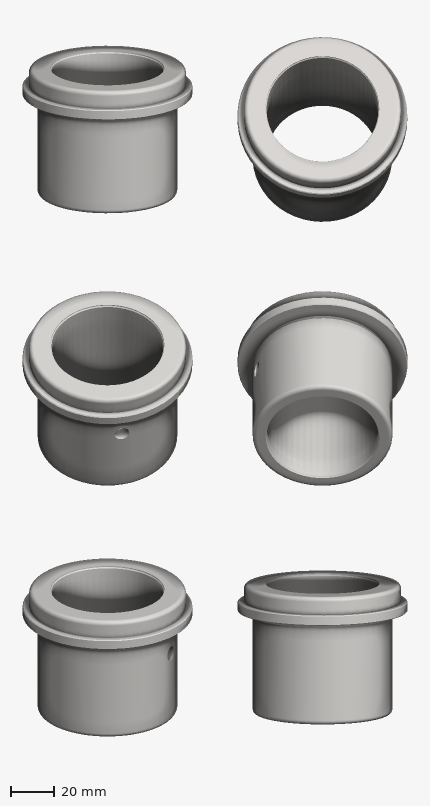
import cadquery as cq

total_height = 61.0
flange_diameter = 79.0
collar_diameter = 73.0
body_diameter = 65.0
bore_diameter = 52.0

collar_height = 8.1
flange_height = 4.7
flange_chamfer = 0.4
bore_chamfer = 0.5
end_fillet = 2.0

relief_height = 2.1
relief_depth = 0.8
relief_top_depth = 0.55
relief_mid_drop = 0.95

oil_hole_diameter = 7.0
oil_hole_height = 34.5

flange_top = total_height - collar_height
flange_bottom = flange_top - flange_height
body_radius = body_diameter / 2


def make_disc(diameter, bottom, top):
    return cq.Workplane("XY").workplane(offset=bottom).circle(diameter / 2).extrude(top - bottom)


def make_body():
    return make_disc(body_diameter, 0, flange_bottom).faces("<Z").edges().fillet(end_fillet)


def make_flange():
    return make_disc(flange_diameter, flange_bottom, flange_top).edges().chamfer(flange_chamfer)


def make_collar():
    return make_disc(collar_diameter, flange_top, total_height).faces(">Z").edges().fillet(end_fillet)


def make_relief():
    """Curved undercut around the body just below the flange."""
    return (
        cq.Workplane("XZ")
        .moveTo(body_radius, flange_bottom - relief_height)
        .threePointArc(
            (body_radius - relief_depth, flange_bottom - relief_mid_drop),
            (body_radius - relief_top_depth, flange_bottom),
        )
        .lineTo(body_radius, flange_bottom)
        .close()
        .revolve(360, (0, 0, 0), (0, 1, 0))
    )


def make_bore():
    """Through bore with a chamfered mouth at each end."""
    bore = make_disc(bore_diameter, 0, total_height)
    mouth_diameter = bore_diameter + 2 * bore_chamfer
    lower_mouth = make_disc(mouth_diameter, 0, 2 * bore_chamfer).faces(">Z").edges().chamfer(bore_chamfer)
    upper_mouth = lower_mouth.mirror("XY").translate((0, 0, total_height))
    return bore.union(lower_mouth).union(upper_mouth)


def make_oil_hole():
    """Radial hole through the +Y wall only."""
    return (
        cq.Workplane("XZ", origin=(0, 0, oil_hole_height))
        .circle(oil_hole_diameter / 2)
        .extrude(-flange_diameter / 2)
    )


result = make_body().union(make_flange()).union(make_collar())
result = result.cut(make_relief()).cut(make_bore()).cut(make_oil_hole())